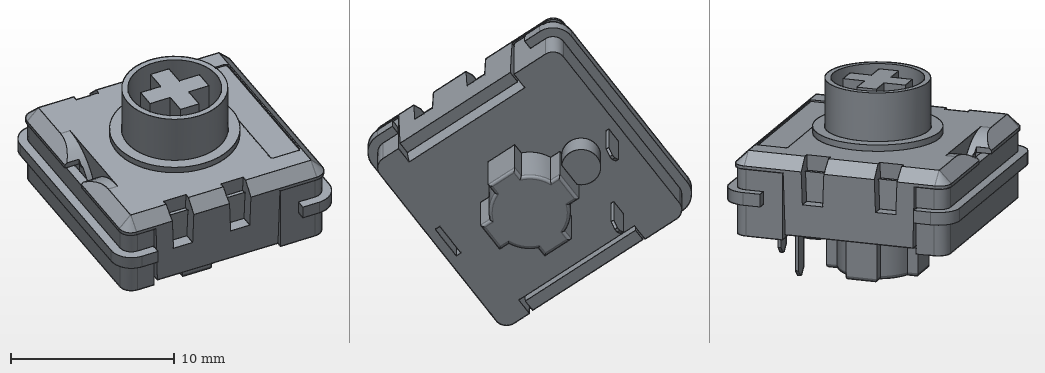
import cadquery as cq
import math


base_height = 4.3
cover_top = 5.3
collar_top = 5.7
stem_top = 8.8
cross_top = 8.7
stem_floor = 5.7

base_half = 6.9
corner_radius = 0.8

flange_half = 7.5
flange_radius = 1.4
flange_bottom = 2.16
flange_top = 2.97
flange_end = 4.98

recess_rear = 3.75
recess_front = -4.95
recess_top_x = 6.12
recess_ridge_x = 6.21
recess_ridge_z = 2.1
recess_bottom_x = 5.78

post_depth = 3.39
post_diameter = 5.0
rib_width = 2.0
rib_span = 5.95
post_fillet = 0.2
peg_diameter = 2.4
peg_depth = 1.6
peg_y = 3.87

cover_half = 6.99
cover_chamfer = 0.78
collar_diameter = 8.0
stem_hole_diameter = 6.55
tab_bottom = 0.38
tab_top_rear = 3.66
tab_bottom_rear = 3.52
tab_top_front = -4.86
tab_bottom_front = -4.77

pocket_floor = 2.42
pocket_back_x = 5.88
pocket_top_width = 1.53
pocket_floor_width = 1.32
front_pocket_y = -3.0
left_pocket_y = 1.75
right_pocket_y = 0.93

label_length = 9.93
label_width = 2.0
label_y = 5.12
label_depth = 0.1
label_radius = 0.15

window_half_width = 1.11
window_front = -6.32
window_rear = -5.97
notch_rear = -6.03
lip_rear = -5.25
lip_bottom = 3.0
scoop_rear = -5.56
scoop_half_width = 3.21
scoop_radius = 3.75

stem_diameter = 6.5
stem_bore = 5.75
cross_span = 4.05
cross_arm_width = 1.28

pin_width = 1.0
pin_thickness = 0.2
pin_length = 3.02
pin_tip_width = 0.24
pin_tip_height = 0.42
pin_places = [(0, 6.21), (-4.2, 3.58)]


def block(x_min, x_max, y_min, y_max, z_min, z_max):
    """Axis-aligned box between the given limits."""
    size = (x_max - x_min, y_max - y_min, z_max - z_min)
    return cq.Workplane().box(*size, centered=False).translate((x_min, y_min, z_min))


def rounded_square(half_side, radius, z_min, z_max):
    """Square prism about the Z axis with rounded vertical edges."""
    prism = block(-half_side, half_side, -half_side, half_side, z_min, z_max)
    return prism.edges("|Z").fillet(radius)


def cylinder(diameter, z_min, z_max, y=0):
    return cq.Workplane().center(0, y).circle(diameter / 2).extrude(z_max - z_min).translate((0, 0, z_min))


def cross(span, arm_width, z_min, z_max):
    """Plus-shaped prism about the Z axis."""
    arm = block(-span / 2, span / 2, -arm_width / 2, arm_width / 2, z_min, z_max)
    return arm.union(arm.rotate((0, 0, 0), (0, 0, 1), 90))


def mirrored_pair(body):
    """The body together with its mirror image on the other X side."""
    return body.union(body.mirror("YZ"))


def window_scoop():
    """Space between two convex arcs that roll down from the cover top to meet at X = 0."""
    arc_center_z = cover_top - scoop_radius
    valley_z = arc_center_z + math.sqrt(scoop_radius**2 - scoop_half_width**2)
    mid_x = scoop_half_width / 2
    mid_z = arc_center_z + math.sqrt(scoop_radius**2 - mid_x**2)
    profile = (
        cq.Workplane("XZ", origin=(0, scoop_rear, 0))
        .moveTo(-scoop_half_width, cover_top)
        .threePointArc((-mid_x, mid_z), (0, valley_z))
        .threePointArc((mid_x, mid_z), (scoop_half_width, cover_top))
        .close()
    )
    return profile.extrude(flange_half + scoop_rear)


def base_flange():
    flange = rounded_square(flange_half, flange_radius, flange_bottom, flange_top)
    side_gap = block(-flange_half, flange_half, -flange_end, flange_end, flange_bottom, flange_top)
    return flange.cut(side_gap)


def base_recess():
    """Recess in the right side of the base; its back wall has a ridge the tab snaps over."""
    return (
        cq.Workplane("XZ", origin=(0, recess_rear, 0))
        .polyline([
            (flange_half, 0),
            (recess_bottom_x, 0),
            (recess_ridge_x, recess_ridge_z),
            (recess_top_x, base_height),
            (flange_half, base_height),
        ])
        .close()
        .extrude(recess_rear - recess_front)
    )


def base_posts():
    post = cylinder(post_diameter, -post_depth, 0).union(cross(rib_span, rib_width, -post_depth, 0))
    post = post.faces("<Z").edges().fillet(post_fillet)
    return post.union(cylinder(peg_diameter, -peg_depth, 0, peg_y))


def window_lip():
    """Lip that hangs from the cover into the base along the rear edge of the window."""
    return block(-window_half_width, window_half_width, window_rear, lip_rear, lip_bottom, base_height)


def make_base():
    window = block(-window_half_width, window_half_width, window_front, window_rear, 0, base_height)
    return (
        rounded_square(base_half, corner_radius, 0, base_height)
        .union(base_flange())
        .cut(mirrored_pair(base_recess()))
        .cut(window)
        .cut(window_lip())
        .union(base_posts())
    )


def cover_tab():
    """Tapered tab that hangs from the right side of the cover into the base recess."""
    return (
        cq.Workplane("YZ", origin=(recess_ridge_x, 0, 0))
        .polyline([
            (tab_top_front, base_height),
            (tab_bottom_front, tab_bottom),
            (tab_bottom_rear, tab_bottom),
            (tab_top_rear, base_height),
        ])
        .close()
        .extrude(cover_half - recess_ridge_x)
    )


def snap_pocket(y):
    """Tapered pocket in the right side of the cover, open at the top."""
    half_top = pocket_top_width / 2
    half_floor = pocket_floor_width / 2
    return (
        cq.Workplane("YZ", origin=(pocket_back_x, y, 0))
        .polyline([
            (-half_top, cover_top),
            (-half_floor, pocket_floor),
            (half_floor, pocket_floor),
            (half_top, cover_top),
        ])
        .close()
        .extrude(cover_half - pocket_back_x)
    )


def make_cover():
    cover = rounded_square(cover_half, corner_radius, base_height, cover_top)
    cover = cover.faces(">Z").edges().chamfer(cover_chamfer)
    cover = cover.union(mirrored_pair(cover_tab()))
    for y in (front_pocket_y, right_pocket_y):
        cover = cover.cut(snap_pocket(y))
    for y in (front_pocket_y, left_pocket_y):
        cover = cover.cut(snap_pocket(y).mirror("YZ"))

    half_length = label_length / 2
    half_width = label_width / 2
    label = block(-half_length, half_length, label_y - half_width, label_y + half_width,
                  cover_top - label_depth, cover_top).edges("|Z").fillet(label_radius)
    notch = block(-window_half_width, window_half_width, -cover_half, notch_rear, base_height, cover_top)
    return (
        cover.union(window_lip())
        .cut(label)
        .cut(notch)
        .cut(window_scoop())
        .union(cylinder(collar_diameter, cover_top, collar_top))
        .cut(cylinder(stem_hole_diameter, base_height, collar_top))
    )


def make_stem():
    """Round keycap stem resting on the base, with a cross standing inside its rim."""
    return (
        cylinder(stem_diameter, base_height, stem_top)
        .cut(cylinder(stem_bore, stem_floor, stem_top))
        .union(cross(cross_span, cross_arm_width, stem_floor, cross_top))
    )


def make_pin(x, y):
    """Flat solder pin with a tapered tip, hanging from the underside of the base."""
    half_width = pin_width / 2
    half_tip = pin_tip_width / 2
    shoulder_z = pin_tip_height - pin_length
    return (
        cq.Workplane("XZ", origin=(x, y + pin_thickness / 2, 0))
        .polyline([
            (-half_width, 0),
            (-half_width, shoulder_z),
            (-half_tip, -pin_length),
            (half_tip, -pin_length),
            (half_width, shoulder_z),
            (half_width, 0),
        ])
        .close()
        .extrude(pin_thickness)
    )


base = make_base()
cover = make_cover()
stem = make_stem()
pins = [make_pin(x, y).val() for x, y in pin_places]

result = cq.Compound.makeCompound([base.val(), cover.val(), stem.val(), *pins])